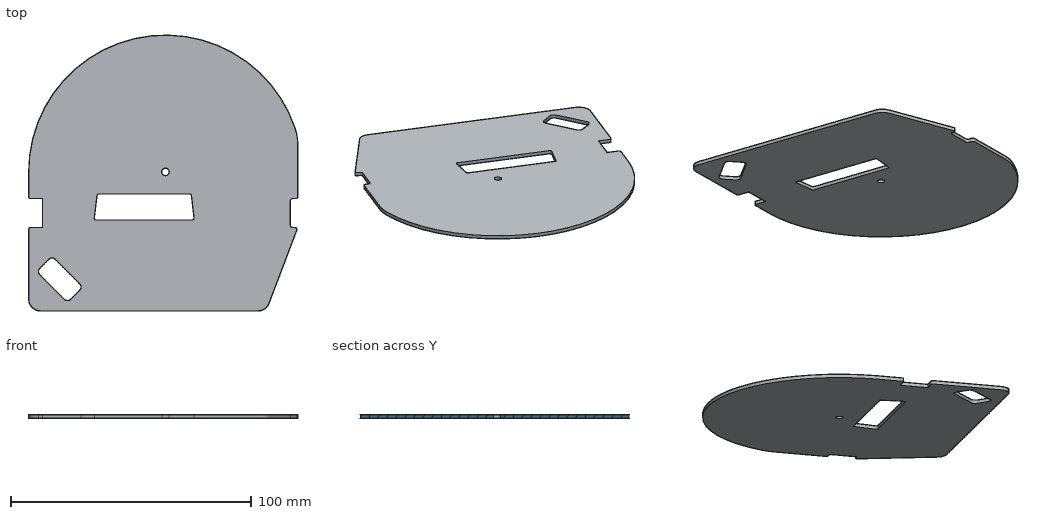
import cadquery as cq
import math

thickness = 1.5
disc_radius = 57.0
plate_width = 112.0
plate_height = 114.8
left_x = -disc_radius
right_x = left_x + plate_width
bottom_y = disc_radius - plate_height
shoulder_radius = 21.8
bottom_right_x = 41.9
bottom_corner_radius = 5.0

notch_top_y = -11.1
notch_bottom_y = -23.1
left_notch_depth = 5.7
right_notch_depth = 3.1
notch_corner_radius = 0.9

pivot_hole_diameter = 3.0

window_center_x = -8.8
window_top_y = -9.2
window_bottom_y = -20.0
window_top_width = 39.0
window_bottom_width = 41.6
window_corner_radius = 0.7

slot_center = (-44.0, -44.7)
slot_length = 18.1
slot_width = 9.1
slot_angle = -45
slot_corner_radius = 2.0


def round_corners(body, points, radius):
    """Fillet the vertical edges standing on the given outline points."""
    margin = 0.1
    for x, y in points:
        corner = cq.selectors.BoxSelector(
            (x - margin, y - margin, -margin),
            (x + margin, y + margin, thickness + margin),
        )
        body = body.edges("|Z").edges(corner).fillet(radius)
    return body


def make_plate():
    shoulder_x = right_x - shoulder_radius
    shoulder_y = math.sqrt((disc_radius - shoulder_radius) ** 2 - shoulder_x**2)
    shoulder_angle = math.atan2(shoulder_y, shoulder_x)

    def shoulder_point(angle):
        return (
            shoulder_x + shoulder_radius * math.cos(angle),
            shoulder_y + shoulder_radius * math.sin(angle),
        )

    left_notch_x = left_x + left_notch_depth
    right_notch_x = right_x - right_notch_depth
    left_mouth = [(left_x, notch_bottom_y), (left_x, notch_top_y)]
    right_mouth = [(right_x, notch_top_y), (right_x, notch_bottom_y)]
    right_notch_floor = [(right_notch_x, notch_top_y), (right_notch_x, notch_bottom_y)]
    bottom_corners = [(left_x, bottom_y), (bottom_right_x, bottom_y)]

    plate = (
        cq.Workplane("XY")
        .moveTo(left_x, 0)
        .threePointArc((0, disc_radius), shoulder_point(shoulder_angle))
        .threePointArc(shoulder_point(shoulder_angle / 2), shoulder_point(0))
        .lineTo(right_x, notch_top_y)
        .lineTo(right_notch_x, notch_top_y)
        .lineTo(right_notch_x, notch_bottom_y)
        .lineTo(right_x, notch_bottom_y)
        .lineTo(bottom_right_x, bottom_y)
        .lineTo(left_x, bottom_y)
        .lineTo(left_x, notch_bottom_y)
        .lineTo(left_notch_x, notch_bottom_y)
        .lineTo(left_notch_x, notch_top_y)
        .lineTo(left_x, notch_top_y)
        .close()
        .extrude(thickness)
    )
    plate = round_corners(plate, bottom_corners, bottom_corner_radius)
    return round_corners(plate, left_mouth + right_mouth + right_notch_floor, notch_corner_radius)


def make_pivot_hole():
    return cq.Workplane("XY").circle(pivot_hole_diameter / 2).extrude(thickness)


def make_window():
    half_top = window_top_width / 2
    half_bottom = window_bottom_width / 2
    corners = [
        (window_center_x - half_bottom, window_bottom_y),
        (window_center_x + half_bottom, window_bottom_y),
        (window_center_x + half_top, window_top_y),
        (window_center_x - half_top, window_top_y),
    ]
    window = cq.Workplane("XY").polyline(corners).close().extrude(thickness)
    return window.edges("|Z").fillet(window_corner_radius)


def make_slot():
    slot = cq.Workplane("XY").rect(slot_length, slot_width).extrude(thickness)
    slot = slot.edges("|Z").fillet(slot_corner_radius)
    return slot.rotate((0, 0, 0), (0, 0, 1), slot_angle).translate((*slot_center, 0))


result = make_plate().cut(make_pivot_hole()).cut(make_window()).cut(make_slot())